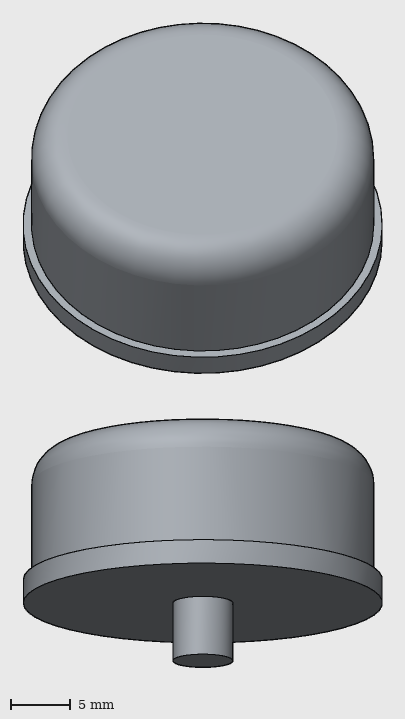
import cadquery as cq

flange_diameter = 30.0
flange_height = 2.0
cap_diameter = 28.6
cap_edge_radius = 3.0
pin_diameter = 5.0
pin_length = 4.95
total_height = 18.05

cap_height = total_height - pin_length - flange_height


def cylinder(diameter, height, base_z):
    """Upright cylinder on the Z axis, starting at base_z."""
    return cq.Workplane("XY").workplane(offset=base_z).circle(diameter / 2).extrude(height)


flange = cylinder(flange_diameter, flange_height, 0)

cap = cylinder(cap_diameter, cap_height, flange_height).faces(">Z").edges().fillet(cap_edge_radius)

pin = cylinder(pin_diameter, pin_length, -pin_length)

result = flange.union(cap).union(pin)